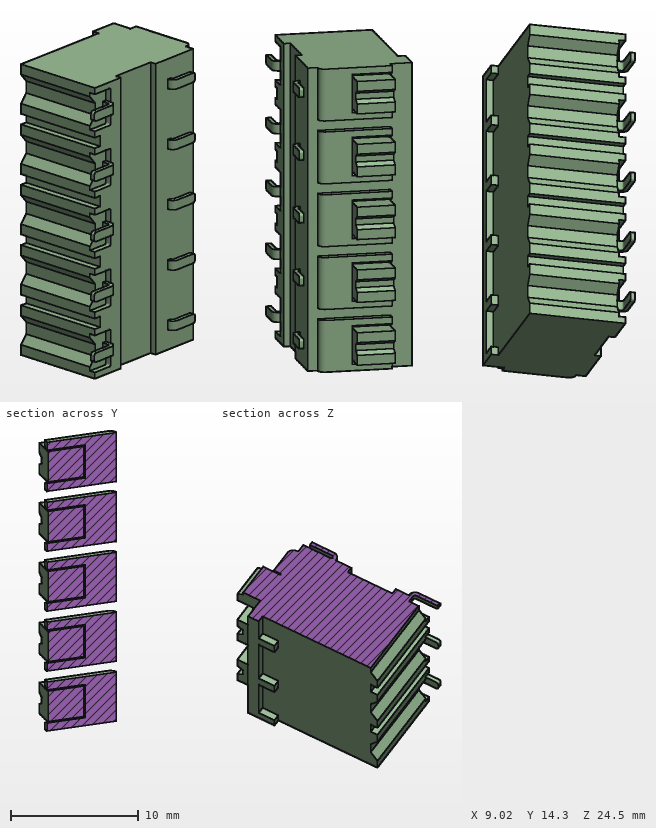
import cadquery as cq
import math

pole_count = 5
total_height = 24.52
pole_height = 4.2
pole_pitch = (total_height - pole_height) / (pole_count - 1)
pole_gap = pole_pitch - pole_height
pole_centers = [(i - (pole_count - 1) / 2) * pole_pitch for i in range(pole_count)]
gap_centers = [(i - (pole_count - 2) / 2) * pole_pitch for i in range(pole_count - 1)]

body_width = 7.82
body_depth = 11.57
groove_depth = 0.61

shelf_left = 1.18
shelf_right = 7.04
shelf_thickness = 0.65
shelf_corner_radius = 0.55
recess_clearance = 0.07
recess_flare = 0.17
recess_flare_depth = 0.32

button_left = 1.25
button_width = 3.06
button_height = 2.62
button_protrusion = 2.08
button_slot_depth = 0.51
button_slot_mouth = 1.03
button_slot_floor = 0.5

rail_thickness = 0.6
rail_depth = 1.0
tooth_length = 1.45
middle_tooth_height = 0.8
end_tooth_height = 0.65

front_groove_mouth = 2.45
front_groove_floor = 1.0

relief_depth = 0.51
relief_start = 3.06
relief_end = 7.14
lead_opening_height = 3.11
lead_opening_corner_radius = 0.15

pin_thickness = 0.37
pin_width = 0.78
pin_length = 2.57
pin_tip_radius = 0.22
pin_outer_x = body_width + rail_thickness
pin_bend_radius = 0.55
front_pin_tip = -0.7
rear_pin_tip = 11.13


def box(x_range, y_range, z_center, height):
    """Box spanning two ranges in X and Y, centred in Z."""
    x_size = x_range[1] - x_range[0]
    y_size = y_range[1] - y_range[0]
    return (
        cq.Workplane("XY")
        .box(x_size, y_size, height)
        .translate((x_range[0] + x_size / 2, y_range[0] + y_size / 2, z_center))
    )


def trapezoid_prism(x_range, y_mouth, y_floor, mouth, floor, z_center):
    """Trapezoidal groove running along X, wide at the mouth and narrow at the floor."""
    return (
        cq.Workplane("YZ", origin=(x_range[0], 0, z_center))
        .polyline([
            (y_mouth, -mouth / 2),
            (y_floor, -floor / 2),
            (y_floor, floor / 2),
            (y_mouth, mouth / 2),
        ])
        .close()
        .extrude(x_range[1] - x_range[0])
    )


def make_housing():
    housing = box((0, body_width), (0, body_depth), 0, total_height)
    for z in gap_centers:
        housing = housing.cut(box((0, body_width), (0, groove_depth), z, pole_gap))
    for z in pole_centers:
        housing = housing.cut(trapezoid_prism(
            (0, body_width), 0, groove_depth, front_groove_mouth, front_groove_floor, z))
    relief_left = body_width - relief_depth
    housing = housing.cut(box((relief_left, body_width), (relief_start, relief_end), 0, total_height))
    lead_opening_depth = front_pin_tip + pin_length
    for z in pole_centers:
        opening = box((relief_left, body_width), (0, lead_opening_depth), z, lead_opening_height)
        opening = opening.faces(">Y").edges("|X").fillet(lead_opening_corner_radius)
        housing = housing.cut(opening)
    return housing


def make_rail():
    rail_front = body_depth - rail_depth
    rail = box((-rail_thickness, 0), (rail_front, body_depth), 0, total_height)
    tooth_y = (rail_front - tooth_length, rail_front)
    for z in gap_centers:
        rail = rail.union(box((-rail_thickness, 0), tooth_y, z, middle_tooth_height))
    end_tooth_center = (total_height - end_tooth_height) / 2
    for z in (-end_tooth_center, end_tooth_center):
        rail = rail.union(box((-rail_thickness, 0), tooth_y, z, end_tooth_height))
    return rail


def make_shelf(z):
    shelf_back = body_depth + shelf_thickness
    shelf = box((shelf_left, shelf_right), (body_depth, shelf_back), z, pole_height)
    shelf = shelf.edges(">X and >Y").fillet(shelf_corner_radius)
    recess_height = button_height + 2 * recess_clearance
    recess_x = (shelf_left, button_left + button_width + recess_clearance)
    recess = box(recess_x, (body_depth, shelf_back), z, recess_height)
    mouth = trapezoid_prism(recess_x, shelf_back, shelf_back - recess_flare_depth,
                            recess_height + 2 * recess_flare, recess_height, z)
    return shelf.cut(recess).cut(mouth)


def make_button(z):
    button_x = (button_left, button_left + button_width)
    button_back = body_depth + button_protrusion
    button = box(button_x, (body_depth, button_back), z, button_height)
    slot = trapezoid_prism(button_x, button_back, button_back - button_slot_depth,
                           button_slot_mouth, button_slot_floor, z)
    return button.cut(slot)


def make_pin(z, tip_y, direction):
    """L-shaped pin leaving the right face; direction is +1 or -1 from the tip to the bend."""
    root_x = body_width - relief_depth - pin_thickness
    inner_x = pin_outer_x - pin_thickness
    inner_radius = pin_bend_radius - pin_thickness
    bend_x = pin_outer_x - pin_bend_radius
    bend_y = tip_y + direction * (pin_length - pin_bend_radius)
    diagonal = math.sqrt(0.5)
    pin = (
        cq.Workplane("XY", origin=(0, 0, z - pin_width / 2))
        .moveTo(inner_x, tip_y)
        .lineTo(pin_outer_x, tip_y)
        .lineTo(pin_outer_x, bend_y)
        .threePointArc(
            (bend_x + diagonal * pin_bend_radius, bend_y + direction * diagonal * pin_bend_radius),
            (bend_x, bend_y + direction * pin_bend_radius))
        .lineTo(root_x, bend_y + direction * pin_bend_radius)
        .lineTo(root_x, bend_y + direction * inner_radius)
        .lineTo(bend_x, bend_y + direction * inner_radius)
        .threePointArc(
            (bend_x + diagonal * inner_radius, bend_y + direction * diagonal * inner_radius),
            (inner_x, bend_y))
        .close()
        .extrude(pin_width)
    )
    tip_face = "<Y" if direction > 0 else ">Y"
    return pin.faces(tip_face).edges("|X").fillet(pin_tip_radius)


result = make_housing().union(make_rail())
for z in pole_centers:
    result = result.union(make_shelf(z)).union(make_button(z))
    result = result.union(make_pin(z, front_pin_tip, 1)).union(make_pin(z, rear_pin_tip, -1))